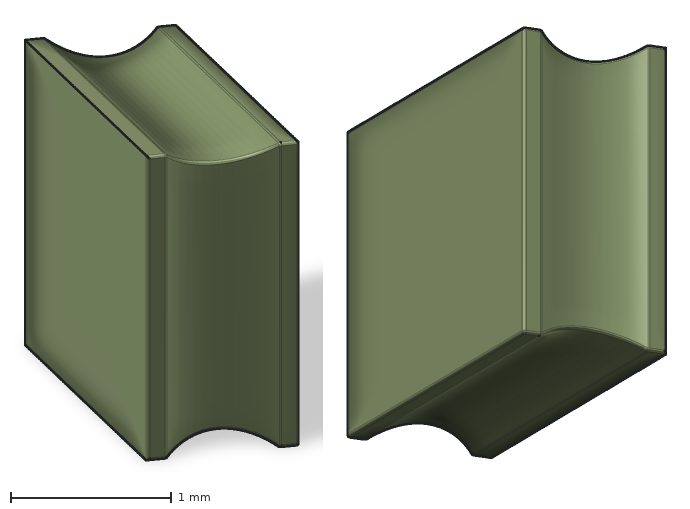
import cadquery as cq
import math

length = 2.5
depth = 1.0
height = 2.0

groove_width = 0.75
groove_depth = 0.12

edge_radius = 0.02
lip_radius = 0.022

groove_radius = (groove_width**2 / 4 + groove_depth**2) / (2 * groove_depth)
lip_offset = math.sqrt((groove_radius + lip_radius) ** 2 - (groove_radius - groove_depth + lip_radius) ** 2)
lip_angle = math.asin(lip_offset / (groove_radius + lip_radius))


def lip_point(side_distance, angle):
    """Point on the +Y lip arc, at an angle from the outward direction towards the groove."""
    x = side_distance - lip_radius + lip_radius * math.cos(angle)
    y = lip_offset - lip_radius * math.sin(angle)
    return x, y


def mirrored(point):
    """The same point on the -Y half of the groove section."""
    return point[0], -point[1]


def groove(side_distance, run, axis_turn):
    """Arc-section cutter for the +X side, turned about Y onto another side."""
    lip_start = lip_point(side_distance, 0)
    lip_middle = lip_point(side_distance, lip_angle / 2)
    lip_end = lip_point(side_distance, lip_angle)
    groove_bottom = (side_distance - groove_depth, 0)
    clear_x = side_distance + groove_depth
    cutter = (
        cq.Workplane("XY", origin=(0, 0, -run / 2))
        .moveTo(clear_x, -lip_offset)
        .lineTo(*mirrored(lip_start))
        .threePointArc(mirrored(lip_middle), mirrored(lip_end))
        .threePointArc(groove_bottom, lip_end)
        .threePointArc(lip_middle, lip_start)
        .lineTo(clear_x, lip_offset)
        .close()
        .extrude(run)
    )
    return cutter.rotate((0, 0, 0), (0, 1, 0), axis_turn)


body = cq.Workplane("XY").box(length, depth, height)
for turn in (0, 180):
    body = body.cut(groove(length / 2, height, turn))
for turn in (90, 270):
    body = body.cut(groove(height / 2, length, turn))

corner_size = cq.Vector(2 * groove_depth, depth, 2 * groove_depth)
for x_side in (-1, 1):
    for z_side in (-1, 1):
        corner = cq.Vector(x_side * length / 2, 0, z_side * height / 2)
        corner_box = cq.selectors.BoxSelector(corner - corner_size, corner + corner_size)
        body = body.edges(corner_box).fillet(edge_radius)

body = body.faces(">Y").edges().fillet(edge_radius)

front_envelope = cq.Workplane("XY").box(length, depth, height).edges("|Z and <Y").fillet(edge_radius)
result = body.intersect(front_envelope)